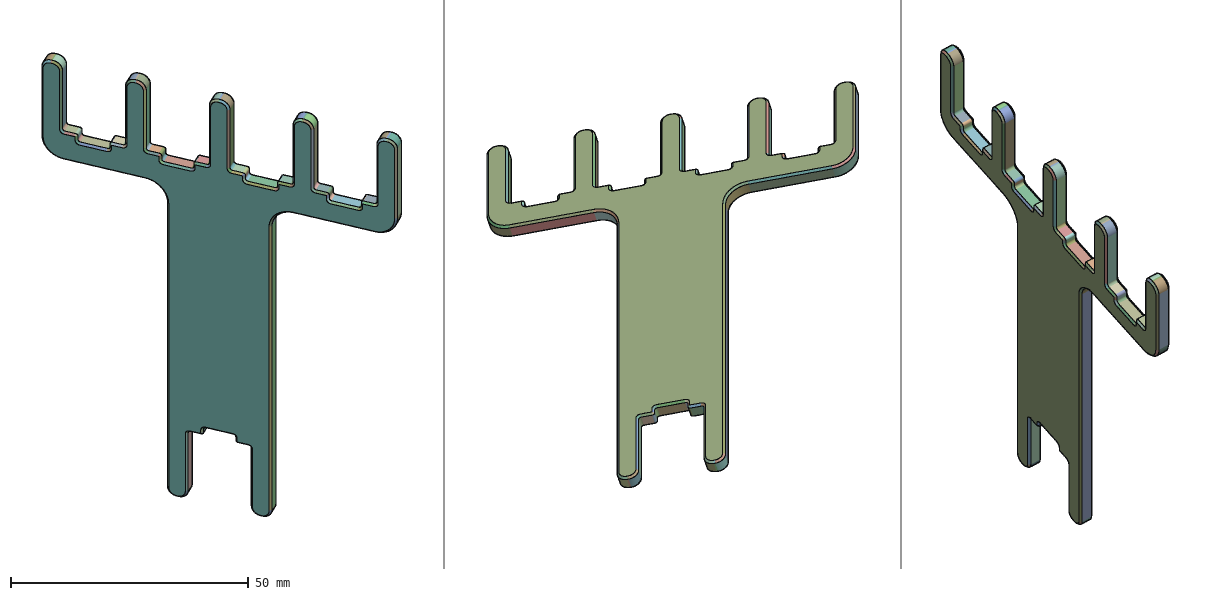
import cadquery as cq

WIDTH = 80.3
HEIGHT = 108.9
THICKNESS = 3.4
EDGE_CHAMFER = 0.48

TOP_PRONG_COUNT = 5
PRONG_WIDTH = 4.7
PRONG_TIP_RADIUS = 2.2
PRONG_PITCH = (WIDTH - PRONG_WIDTH) / (TOP_PRONG_COUNT - 1)

GAP_WIDTH = PRONG_PITCH - PRONG_WIDTH
GAP_DEPTH = 18.2
LEDGE_WIDTH = 3.5
NOTCH_WIDTH = GAP_WIDTH - 2 * LEDGE_WIDTH
NOTCH_DEPTH = 2.0
GAP_CORNER_RADIUS = 0.5

HEAD_HEIGHT = 25.7
STEM_WIDTH = PRONG_PITCH + PRONG_WIDTH
BEND_RADIUS = 5.0

TOP = HEIGHT / 2
BOTTOM = -HEIGHT / 2
HEAD_BOTTOM = TOP - HEAD_HEIGHT

BAND_TOLERANCE = 0.1


def slab(width, z_low, z_high, x_center=0.0):
    """Rectangular slab through the plate thickness, centred on Y = 0."""
    height = z_high - z_low
    center = (x_center, 0, (z_low + z_high) / 2)
    return cq.Workplane("XY").box(width, THICKNESS, height).translate(center)


def round_corners(body, z_levels, radius):
    """Round every corner edge that crosses the thickness at the given heights."""
    for z in z_levels:
        band = cq.selectors.BoxSelector(
            (-WIDTH, -THICKNESS, z - BAND_TOLERANCE),
            (WIDTH, THICKNESS, z + BAND_TOLERANCE),
        )
        body = body.edges("|Y").edges(band).fillet(radius)
    return body


def stepped_gap(x_center, z_open, inward):
    """Gap between two prongs with a narrower notch in its floor; inward is +1 or -1 along Z."""
    z_floor = z_open + inward * GAP_DEPTH
    z_notch = z_floor + inward * NOTCH_DEPTH
    gap = slab(GAP_WIDTH, *sorted((z_open, z_floor)), x_center)
    notch = slab(NOTCH_WIDTH, *sorted((z_open, z_notch)), x_center)
    return gap.union(notch)


plate = slab(WIDTH, HEAD_BOTTOM, TOP).union(slab(STEM_WIDTH, BOTTOM, TOP))

for index in range(TOP_PRONG_COUNT - 1):
    gap_x = (index - (TOP_PRONG_COUNT - 2) / 2) * PRONG_PITCH
    plate = plate.cut(stepped_gap(gap_x, TOP, -1))
plate = plate.cut(stepped_gap(0, BOTTOM, 1))

plate = round_corners(plate, [HEAD_BOTTOM], BEND_RADIUS)
plate = round_corners(plate, [TOP, BOTTOM], PRONG_TIP_RADIUS)
gap_levels = [
    TOP - GAP_DEPTH,
    TOP - GAP_DEPTH - NOTCH_DEPTH,
    BOTTOM + GAP_DEPTH,
    BOTTOM + GAP_DEPTH + NOTCH_DEPTH,
]
plate = round_corners(plate, gap_levels, GAP_CORNER_RADIUS)

result = plate.faces("<Y or >Y").chamfer(EDGE_CHAMFER)